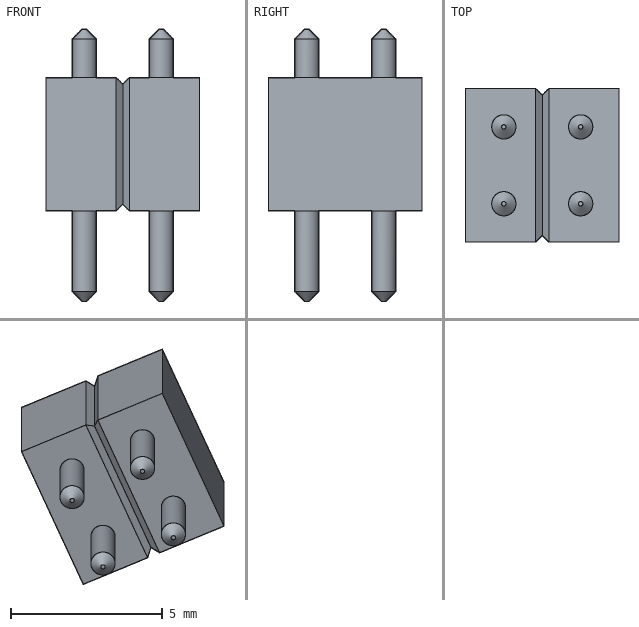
import cadquery as cq

pitch = 2.54
pins_per_side = 2
housing_height = 4.4
pin_length = 9.0
pin_diameter = 0.8
pin_tip_diameter = 0.14
pin_tip_height = 0.33
pin_tail = 3.0
groove_depth = 0.22

housing_width = pins_per_side * pitch
half_width = housing_width / 2
pin_bottom = -pin_tail
first_pin = -(pins_per_side - 1) * pitch / 2
pin_positions = [
    (first_pin + column * pitch, first_pin + row * pitch)
    for column in range(pins_per_side)
    for row in range(pins_per_side)
]


def make_housing():
    """Block standing on Z = 0, with a V-groove around it at X = 0 and one hole per pin."""
    block_outline = [
        (-half_width, -half_width),
        (-groove_depth, -half_width),
        (0, -half_width + groove_depth),
        (groove_depth, -half_width),
        (half_width, -half_width),
        (half_width, half_width),
        (groove_depth, half_width),
        (0, half_width - groove_depth),
        (-groove_depth, half_width),
        (-half_width, half_width),
    ]
    block = cq.Workplane("XY").polyline(block_outline).close().extrude(housing_height)

    for face_height, inward in ((0, 1), (housing_height, -1)):
        groove = (
            cq.Workplane("XZ")
            .moveTo(-groove_depth, face_height)
            .lineTo(0, face_height + inward * groove_depth)
            .lineTo(groove_depth, face_height)
            .close()
            .extrude(half_width, both=True)
        )
        block = block.cut(groove)

    holes = cq.Workplane("XY").pushPoints(pin_positions).circle(pin_diameter / 2).extrude(housing_height)
    return block.cut(holes)


def make_pin(x, y):
    """Round pin with a truncated cone at each end, passing through the housing."""
    pin_radius = pin_diameter / 2
    tip_radius = pin_tip_diameter / 2
    half_profile = [
        (0, 0),
        (tip_radius, 0),
        (pin_radius, pin_tip_height),
        (pin_radius, pin_length - pin_tip_height),
        (tip_radius, pin_length),
        (0, pin_length),
    ]
    pin = cq.Workplane("XZ").polyline(half_profile).close().revolve(360, (0, 0, 0), (0, 1, 0))
    return pin.translate((x, y, pin_bottom))


housing = make_housing()
pins = [make_pin(x, y) for x, y in pin_positions]

result = cq.Compound.makeCompound([housing.val(), *[pin.val() for pin in pins]])